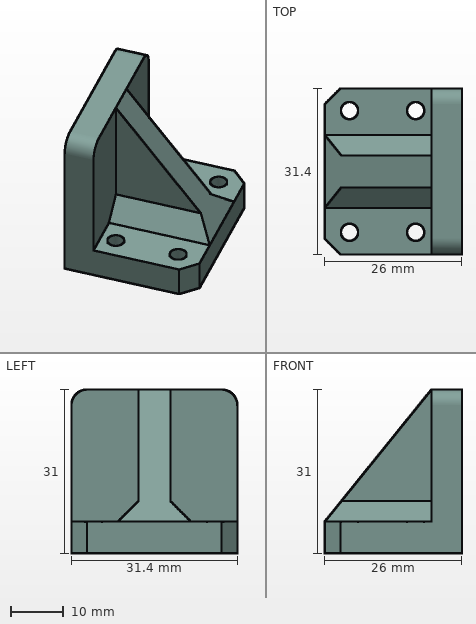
import cadquery as cq

length = 26.0
width = 31.4
height = 31.0

base_thickness = 6.0
plate_thickness = 5.8
corner_chamfer = 3.0
corner_radius = 3.0

rib_thickness = 6.0
rib_flare = 3.92

hole_diameter = 3.2
hole_spacing_x = 12.5
hole_spacing_y = 23.0
first_hole_x = 4.7

plate_front_x = length - plate_thickness


def make_base():
    """Flat base with chamfered corners on the edge away from the plate."""
    base = cq.Workplane("XY").box(length, width, base_thickness, centered=(False, True, False))
    return base.edges("|Z and <X").chamfer(corner_chamfer)


def make_plate():
    """Upright plate with rounded top corners."""
    plate = (
        cq.Workplane("XY")
        .box(plate_thickness, width, height, centered=(False, True, False))
        .translate((plate_front_x, 0, 0))
    )
    return plate.edges("|X and >Z").fillet(corner_radius)


def make_rib():
    """Flared rib section trimmed to a triangle from base edge to plate top."""
    half_rib = rib_thickness / 2
    half_foot = half_rib + rib_flare
    flare_top = base_thickness + rib_flare
    section = (
        cq.Workplane("YZ")
        .polyline([
            (-half_foot, base_thickness),
            (half_foot, base_thickness),
            (half_rib, flare_top),
            (half_rib, height),
            (-half_rib, height),
            (-half_rib, flare_top),
        ])
        .close()
        .extrude(plate_front_x)
    )
    triangle = (
        cq.Workplane("XZ")
        .polyline([
            (0, base_thickness),
            (plate_front_x, base_thickness),
            (plate_front_x, height),
        ])
        .close()
        .extrude(half_foot, both=True)
    )
    return section.intersect(triangle)


def make_holes():
    """Four through holes in the base, two on each side of the rib."""
    return (
        cq.Workplane("XY")
        .center(first_hole_x + hole_spacing_x / 2, 0)
        .rect(hole_spacing_x, hole_spacing_y, forConstruction=True)
        .vertices()
        .circle(hole_diameter / 2)
        .extrude(base_thickness)
    )


result = make_base().union(make_plate()).union(make_rib()).cut(make_holes())